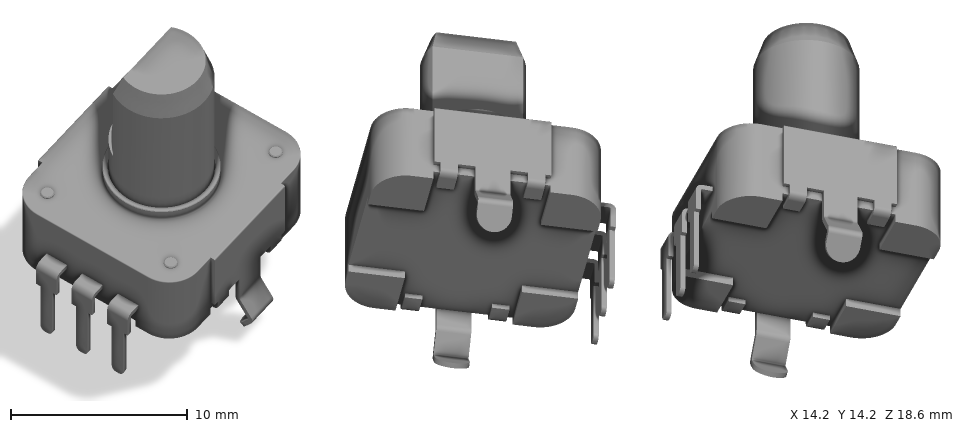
import cadquery as cq
import math


body_width = 11.8
body_depth = 13.2
cover_top = 5.0
corner_radius = 2.0
channel_height = 0.5
front_channel_width = 6.0
side_channel_width = 6.73

sheet = 0.3
body_height = cover_top - sheet
edge_rounding = 0.05
bushing_diameter = 6.7
bushing_foot_diameter = 6.9
bushing_bore = 6.1
bushing_height = 0.61
bushing_chamfer = 0.04
pip_diameter = 0.8
pip_height = 0.11
pip_chamfer = 0.05
pip_spacing_x = 8.65
pip_spacing_y = 10.04

wall_width = 6.73
wall_bottom = 1.0
wall_outer_x = body_width / 2 + sheet
wall_top_rounding = 0.1
tongue_width = 1.0
tongue_spacing = 5.02
tongue_bend_radius = 0.39
tongue_reach = 1.0
leg_width = 2.0
leg_span = 14.18
leg_tip_z = -3.59
leg_elbow_z = -2.14
leg_outward_lean = math.radians(36)
leg_inward_lean = math.radians(37.5)
leg_elbow_radius = 0.4
leg_shoulder_radius = 0.32
leg_tip_radius = 0.99

shaft_diameter = 6.0
shaft_top = 15.0
shaft_tip_inset = 0.5
shaft_tip_height = 1.5
flat_x = -1.5
flat_bottom = 8.0

terminal_pitch = 2.5
terminal_thickness = 0.3
terminal_top = 2.0
terminal_front_y = -7.62
terminal_bend_radius = 0.39
terminal_wide = 1.43
terminal_narrow = 0.8
terminal_shoulder_z = 0.32
terminal_tip_z = -3.5
terminal_tip_radius = 0.33


def box_between(x_range, y_range, z_range):
    """Axis-aligned box from three (low, high) ranges."""
    size = [high - low for low, high in (x_range, y_range, z_range)]
    return cq.Workplane("XY").box(*size, centered=False).translate((x_range[0], y_range[0], z_range[0]))


def rounded_block(bottom, height):
    """Block with the outline of the encoder body."""
    block = cq.Workplane("XY", origin=(0, 0, bottom)).rect(body_width, body_depth).extrude(height)
    return block.edges("|Z").fillet(corner_radius)


def shift_left(points, distance):
    """Open polyline moved sideways to the left of its direction, with mitred corners."""
    headings = [math.atan2(b[1] - a[1], b[0] - a[0]) for a, b in zip(points, points[1:])]
    shifted = []
    for i, (u, v) in enumerate(points):
        before = headings[max(i - 1, 0)]
        after = headings[min(i, len(headings) - 1)]
        mitre = distance / math.cos((after - before) / 2)
        normal = (before + after) / 2 + math.pi / 2
        shifted.append((u + mitre * math.cos(normal), v + mitre * math.sin(normal)))
    return shifted


def bent_strip(plane, outer, thickness, width, bends):
    """Strip of sheet, centred on its drawing plane.

    The outer face follows the points of `outer` and the metal lies on its left.
    `bends` holds, for each inner corner, the radii on the outer and on the left face;
    a radius of 0 leaves the corner sharp.
    """
    inner = shift_left(outer, thickness)
    strip = cq.Workplane(plane).polyline(outer + inner[::-1]).close().extrude(width / 2, both=True)
    drawing_plane = cq.Plane.named(plane)
    for i, radii in enumerate(bends, start=1):
        for corner, radius in zip((outer[i], inner[i]), radii):
            if radius == 0:
                continue
            place = drawing_plane.toWorldCoords(corner).toTuple()
            strip = strip.edges(cq.selectors.NearestToPointSelector(place)).fillet(radius)
    return strip


def make_shaft():
    """D-shaft rising from the top of the housing, its tip tapered on the round and on the flat."""
    radius = shaft_diameter / 2
    shaft = (
        cq.Workplane("XY", origin=(0, 0, body_height))
        .circle(radius)
        .extrude(shaft_top - body_height)
        .faces(">Z")
        .chamfer(shaft_tip_height, shaft_tip_inset)
    )
    flat_side = (
        cq.Workplane("XZ")
        .moveTo(-shaft_diameter, flat_bottom)
        .lineTo(flat_x, flat_bottom)
        .lineTo(flat_x, shaft_top - shaft_tip_height)
        .lineTo(flat_x + shaft_tip_inset, shaft_top)
        .lineTo(-shaft_diameter, shaft_top)
        .close()
        .extrude(shaft_diameter, both=True)
    )
    return shaft.cut(flat_side)


def make_housing():
    """Block on four corner feet, in one piece with the shaft."""
    front_channel = cq.Workplane("XY").rect(front_channel_width, body_depth).extrude(channel_height)
    side_channel = cq.Workplane("XY").rect(body_width, side_channel_width).extrude(channel_height)
    block = rounded_block(0, body_height)
    return block.cut(front_channel).cut(side_channel).union(make_shaft())


def make_tongue():
    """Strip that runs down the left wall and folds under the housing."""
    bottom = channel_height - sheet
    outer = [
        (-wall_outer_x, wall_bottom),
        (-wall_outer_x, bottom),
        (-body_width / 2 + tongue_reach, bottom),
    ]
    bend = (tongue_bend_radius, 0)
    return bent_strip("XZ", outer, sheet, tongue_width, [bend])


def make_leg():
    """Snap-in leg below the left wall: bent outwards, then back inwards to a round tip."""
    half_bend = (leg_outward_lean + leg_inward_lean) / 2
    elbow_x = -leg_span / 2 - leg_elbow_radius * (1 / math.cos(half_bend) - 1)
    shoulder_z = leg_elbow_z + (-wall_outer_x - elbow_x) / math.tan(leg_outward_lean)
    tip_x = elbow_x + (leg_elbow_z - leg_tip_z) * math.tan(leg_inward_lean)
    outer = [
        (-wall_outer_x, wall_bottom),
        (-wall_outer_x, shoulder_z),
        (elbow_x, leg_elbow_z),
        (tip_x, leg_tip_z),
    ]
    bends = [
        (leg_shoulder_radius, leg_shoulder_radius + sheet),
        (leg_elbow_radius, leg_elbow_radius - sheet),
    ]
    leg = bent_strip("XZ", outer, sheet, leg_width, bends)
    for side in (-1, 1):
        tip_corner = (tip_x, side * leg_width / 2, leg_tip_z)
        leg = leg.edges("#Y").edges(cq.selectors.NearestToPointSelector(tip_corner))
        leg = leg.fillet(leg_tip_radius)
    return leg


def make_side_wall():
    """Left wall of the cover with its two tongues and its leg."""
    wall = box_between(
        (-wall_outer_x, -body_width / 2),
        (-wall_width / 2, wall_width / 2),
        (wall_bottom, cover_top),
    )
    wall = wall.union(make_leg())
    for side in (-1, 1):
        wall = wall.union(make_tongue().translate((0, side * tongue_spacing / 2, 0)))
    return wall


def make_pips():
    """Four low round bosses near the corners of the cover."""
    return (
        cq.Workplane("XY", origin=(0, 0, cover_top))
        .rect(pip_spacing_x, pip_spacing_y, forConstruction=True)
        .vertices()
        .circle(pip_diameter / 2)
        .extrude(pip_height)
        .faces(">Z")
        .chamfer(pip_chamfer)
    )


def make_bushing():
    """Collar around the shaft, flared at its foot."""
    radius = bushing_diameter / 2
    foot_radius = bushing_foot_diameter / 2
    flare = foot_radius - radius
    bushing_top = cover_top + bushing_height
    flare_middle = flare * (1 - math.sqrt(0.5))
    return (
        cq.Workplane("XZ")
        .moveTo(0, cover_top)
        .lineTo(foot_radius, cover_top)
        .threePointArc((radius + flare_middle, cover_top + flare_middle), (radius, cover_top + flare))
        .lineTo(radius, bushing_top - bushing_chamfer)
        .lineTo(radius - bushing_chamfer, bushing_top)
        .lineTo(0, bushing_top)
        .close()
        .revolve(360, (0, 0, 0), (0, 1, 0))
    )


def make_cover():
    """Top plate with pips and bushing, and a bent side wall at either end of X."""
    plate = rounded_block(body_height, sheet).faces(">Z").edges().fillet(edge_rounding)
    left_wall = make_side_wall()
    top_edge = cq.selectors.NearestToPointSelector((-wall_outer_x, 0, cover_top))
    left_wall = left_wall.edges("|Y").edges(top_edge).fillet(wall_top_rounding)
    root = box_between(
        (-body_width / 2, -body_width / 2 + sheet),
        (-wall_width / 2, wall_width / 2),
        (body_height, cover_top),
    )
    left_wall = left_wall.union(root)
    cover = plate.union(left_wall).union(left_wall.mirror("YZ")).union(make_pips()).union(make_bushing())
    bore_length = sheet + bushing_height
    bore = cq.Workplane("XY", origin=(0, 0, body_height)).circle(bushing_bore / 2).extrude(bore_length)
    return cover.cut(bore)


def make_terminal(x):
    """Terminal that leaves the front of the housing and bends down to a narrow pin."""
    outer = [
        (-body_depth / 2, terminal_top),
        (terminal_front_y, terminal_top),
        (terminal_front_y, terminal_tip_z),
    ]
    bend = (terminal_bend_radius, terminal_bend_radius - terminal_thickness)
    terminal = bent_strip("YZ", outer, terminal_thickness, terminal_wide, [bend])
    for side in (-1, 1):
        trim = box_between(
            sorted((side * terminal_narrow / 2, side * terminal_wide)),
            (terminal_front_y, -body_depth / 2),
            (terminal_tip_z, terminal_shoulder_z),
        )
        terminal = terminal.cut(trim)
    for side in (-1, 1):
        tip_corner = (side * terminal_narrow / 2, terminal_front_y, terminal_tip_z)
        terminal = terminal.edges("|Y").edges(cq.selectors.NearestToPointSelector(tip_corner))
        terminal = terminal.fillet(terminal_tip_radius)
    return terminal.translate((x, 0, 0))


housing = make_housing()
cover = make_cover()
terminals = [make_terminal(i * terminal_pitch) for i in (-1, 0, 1)]

result = cq.Compound.makeCompound([housing.val(), cover.val(), *[t.val() for t in terminals]])